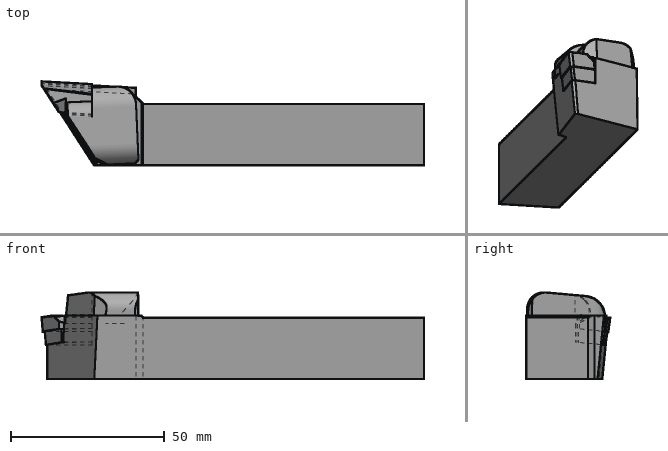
import cadquery as cq
import math


TOTAL_LENGTH = 124.5
SHANK_SIZE = 20.0

TOTAL_WIDTH = 27.4
PAD_RISE = 0.6
HEAD_TOP = SHANK_SIZE + PAD_RISE
HEAD_END_X = 33.1
SHOULDER_X = 30.8
SHOULDER_Y = 22.3
HEAD_NOSE_X = 1.9
END_FACE_X = 17.2
END_FACE_ANGLE = 32.8
END_FACE_SLOPE = math.tan(math.radians(END_FACE_ANGLE))
END_FACE_LEAN = 0.05
SIDE_FACE_Y = 24.9
SIDE_FACE_SLOPE = 0.055
SIDE_FACE_LEAN = 0.1

SEAT_TILT = 0.1
TIP_Z = 20.0
INSERT_THICKNESS = 4.6
SHIM_THICKNESS = 4.4
INSERT_LEAN_X = -0.09
INSERT_LEAN_Y = 0.14
NOSE_WIDTH = 1.2
BACK_Y = 17.3
SHIM_SETBACK = 0.6
SHIM_SIDE_INSET = 0.2
SHIM_BACK_EXTRA = 0.2
POCKET_END_X = 16.5
BACK_GAP = 0.6
GROOVE_START = 1.2
GROOVE_NOSE_WIDTH = 1.1
GROOVE_TAPER = 0.07
GROOVE_LOW_LINE = 0.85
GROOVE_DEPTH = 0.19
BEVEL_TOP_START = (4.2, 20.3, 20.7)
BEVEL_TOP_END = (8.0, 21.9, 20.7)
BEVEL_FOOT = (5.7, 17.3, 18.8)

CLAMP_TOP = 28.3
CLAMP_TILT = 0.09
CLAMP_FRONT_Y = 0.2
CLAMP_BOTTOM = 18.0
CLAMP_END_X = 31.6
CLAMP_TURN = 2.5
CLAMP_FOOT_Z = 20.4
CLAMP_LEAN = 0.1
FRONT_RADIUS = 5.7
BODY_REAR_Y = 25.5
BODY_RADIUS = 7.3
BODY_CORNER_RADIUS = 6.0
FINGER_X = 8.0
FINGER_REAR_Y = 21.0
FINGER_RADIUS = 5.5
CORNER_BEVEL_START = (17.3, 1.7)
CORNER_BEVEL_END = (20.8, CLAMP_FRONT_Y)
END_BEVEL = 1.1

CUTTER_SIZE = 3 * TOTAL_LENGTH


def trim(body, point, normal):
    """Remove everything on the side of the plane to which the normal points."""
    plane = cq.Plane(origin=point, normal=normal)
    return body.cut(cq.Workplane(plane).rect(CUTTER_SIZE, CUTTER_SIZE).extrude(CUTTER_SIZE))


def trim_through(body, first, second, third):
    """Remove everything above the plane through three points."""
    start = cq.Vector(*first)
    normal = (cq.Vector(*second) - start).cross(cq.Vector(*third) - start)
    if normal.z < 0:
        normal = -normal
    return trim(body, first, normal.toTuple())


def seat_point(x, y, height):
    """Point at a height above the insert's top plane, shifted along the leaning sides."""
    z = TIP_Z + SEAT_TILT * (TOTAL_WIDTH - y)
    return cq.Vector(x + INSERT_LEAN_X * height, y + INSERT_LEAN_Y * height, z + height)


def seat_block(outline, bottom, top):
    """Tilted block between two heights relative to the insert's top plane."""
    wires = [
        cq.Wire.makePolygon([seat_point(x, y, height) for x, y in outline], close=True)
        for height in (bottom, top)
    ]
    return cq.Workplane(cq.Solid.makeLoft(wires, True))


def edge_y(x, inset=0.0):
    """Y of a line parallel to the cutting edge in plan."""
    return TOTAL_WIDTH - inset - SIDE_FACE_SLOPE * x


def slab_on_seat(bottom, top, setback, side_inset, back_y):
    """Insert-shaped slab: flat nose, oblique end face, upright back, stopped by the pocket wall."""
    slant_x = setback + END_FACE_SLOPE * (TOTAL_WIDTH - NOSE_WIDTH)
    far_x = 2 * POCKET_END_X
    outline = [
        (setback, edge_y(setback, side_inset)),
        (setback, TOTAL_WIDTH - NOSE_WIDTH),
        (slant_x, 0),
        (far_x, 0),
        (far_x, edge_y(far_x, side_inset)),
    ]
    slab = seat_block(outline, bottom, top)
    return trim_to_pocket(slab, back_y)


def trim_to_pocket(body, back_y):
    """Stop a body at the pocket's end wall and at an upright back parallel to the cutting edge."""
    body = trim(body, (POCKET_END_X, 0, 0), (1, 0, 0))
    back_x = END_FACE_SLOPE * (TOTAL_WIDTH - NOSE_WIDTH - BACK_Y)
    return trim(body, (back_x, back_y, 0), (-SIDE_FACE_SLOPE, -1, 0))


def make_insert():
    body = slab_on_seat(-INSERT_THICKNESS, 0, 0, 0, BACK_Y)
    under_finger = trim(body, (FINGER_X, 0, 0), (-1, 0, 0))
    body = trim_through(body, BEVEL_TOP_START, BEVEL_TOP_END, BEVEL_FOOT).union(under_finger)
    return body.cut(chip_groove())


def chip_groove():
    """Shallow groove along the cutting edge, with a steep side away from the edge."""
    def section(x):
        width = GROOVE_NOSE_WIDTH + GROOVE_TAPER * x
        return cq.Wire.makePolygon(
            [
                seat_point(x, edge_y(x, GROOVE_START), 0),
                seat_point(x, edge_y(x, GROOVE_START + GROOVE_LOW_LINE * width), -GROOVE_DEPTH),
                seat_point(x, edge_y(x, GROOVE_START + width), 0),
            ],
            close=True,
        )

    return cq.Workplane(cq.Solid.makeLoft([section(0), section(POCKET_END_X)], True))


def make_shim():
    floor = -INSERT_THICKNESS - SHIM_THICKNESS
    back_y = BACK_Y - SHIM_BACK_EXTRA
    return slab_on_seat(floor, -INSERT_THICKNESS, SHIM_SETBACK, SHIM_SIDE_INSET, back_y)


def make_head():
    outline = [
        (0, 0),
        (HEAD_END_X, 0),
        (HEAD_END_X, SHANK_SIZE),
        (SHOULDER_X, SHOULDER_Y),
        (SHOULDER_X, TOTAL_WIDTH),
        (0, TOTAL_WIDTH),
    ]
    head = cq.Workplane().polyline(outline).close().extrude(HEAD_TOP)
    head = head.faces(">X").edges(">Z").chamfer(PAD_RISE)
    head = trim(head, (END_FACE_X, 0, 0), (-1, -END_FACE_SLOPE, END_FACE_LEAN))
    head = trim(head, (0, SIDE_FACE_Y, 0), (SIDE_FACE_SLOPE, 1, -SIDE_FACE_LEAN))
    return trim(head, (HEAD_NOSE_X, 0, 0), (-1, 0, 0))


def make_pocket():
    """Open space around the shim and insert, down to the shim's seat and open past the head."""
    beyond_y = 2 * TOTAL_WIDTH
    outline = [
        (-TOTAL_WIDTH, 0),
        (TOTAL_WIDTH, 0),
        (TOTAL_WIDTH, beyond_y),
        (-TOTAL_WIDTH, beyond_y),
    ]
    pocket = seat_block(outline, -INSERT_THICKNESS - SHIM_THICKNESS, TOTAL_WIDTH)
    return trim_to_pocket(pocket, BACK_Y - BACK_GAP)


def clamp_bar(rear_y, rear_radius):
    """Bar with a tilted top and rounded long edges, turned slightly from the X axis."""
    peak = CLAMP_TOP + CLAMP_TILT * (FRONT_RADIUS + CLAMP_FRONT_Y)
    outline = [
        (CLAMP_FRONT_Y, CLAMP_BOTTOM),
        (rear_y, CLAMP_BOTTOM),
        (rear_y, peak - CLAMP_TILT * rear_y),
        (CLAMP_FRONT_Y, peak - CLAMP_TILT * CLAMP_FRONT_Y),
    ]
    bar = cq.Workplane("YZ").polyline(outline).close().extrude(CLAMP_END_X)
    bar = bar.edges("|X and >Z").fillet(FRONT_RADIUS)
    bar = bar.faces(">Y").edges("|X and >Z").fillet(rear_radius)
    bar = bar.intersect(clamp_plan(rear_y))
    return bar.rotate((*CORNER_BEVEL_END, 0), (*CORNER_BEVEL_END, 1), CLAMP_TURN)


def clamp_plan(rear_y):
    """Upright block with the bar's plan, rounded at the rear corner and bevelled at the front one."""
    block = (
        cq.Workplane()
        .box(CLAMP_END_X, rear_y, 2 * CLAMP_TOP, centered=False)
        .edges("|Z and >X and >Y")
        .fillet(BODY_CORNER_RADIUS)
    )
    return trim(block, (CLAMP_END_X - END_BEVEL, CLAMP_FRONT_Y, 0), (1, -1, 0))


def make_clamp():
    body = trim(clamp_bar(BODY_REAR_Y, BODY_RADIUS), (POCKET_END_X, 0, 0), (-1, 0, 0))
    finger = trim(clamp_bar(FINGER_REAR_Y, FINGER_RADIUS), (FINGER_X, 0, HEAD_TOP), (-1, 0, CLAMP_LEAN))
    clamp = body.union(finger)

    foot_x = END_FACE_X + END_FACE_LEAN * CLAMP_FOOT_Z
    for lean in (END_FACE_LEAN, CLAMP_LEAN):
        clamp = trim(clamp, (foot_x, 0, CLAMP_FOOT_Z), (-1, -END_FACE_SLOPE, lean))
    run = CORNER_BEVEL_END[0] - CORNER_BEVEL_START[0]
    drop = CORNER_BEVEL_START[1] - CORNER_BEVEL_END[1]
    return trim(clamp, (*CORNER_BEVEL_END, HEAD_TOP), (-drop, -run, CLAMP_LEAN * run))


def make_holder(insert):
    shank = cq.Workplane(origin=(HEAD_END_X, 0, 0)).box(
        TOTAL_LENGTH - HEAD_END_X, SHANK_SIZE, SHANK_SIZE, centered=False
    )
    holder = make_head().union(shank).cut(make_pocket())
    return holder.union(make_shim()).union(make_clamp()).cut(insert)


insert = make_insert()
holder = make_holder(insert)
result = cq.Compound.makeCompound([holder.val(), insert.val()])